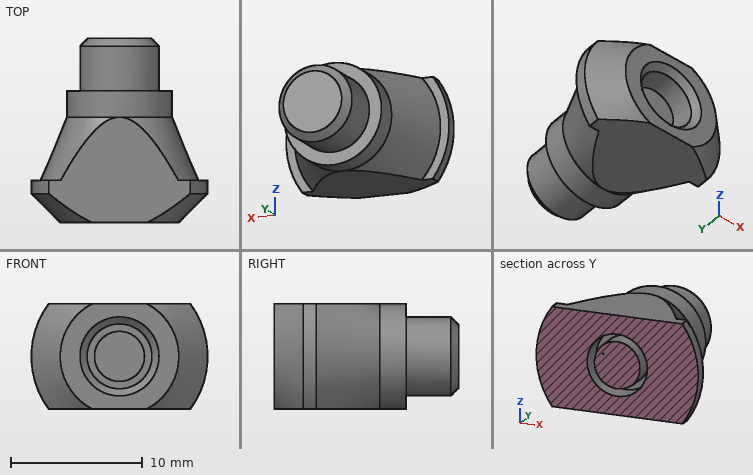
import cadquery as cq

face_radius = 4.5
flange_radius = 6.7
flange_bevel = flange_radius - face_radius
flange_rim_length = 1.0
neck_base_radius = 6.0
collar_radius = 4.0
collar_start = 8.0
collar_length = 2.0
pin_radius = 3.0
pin_chamfer = 0.6
total_length = 14.0

flat_spacing = 2 * collar_radius

bore_mouth_radius = 3.0
bore_radius = 2.46
bore_depth = 4.0
post_radius = 1.9
post_recess = 2.0

rim_end = flange_bevel + flange_rim_length
collar_end = collar_start + collar_length


def revolve_about_y(points):
    """Revolve a closed (radius, y) outline about the Y axis."""
    return cq.Workplane("XY").polyline(points).close().revolve(360, (0, 0), (0, 1))


def make_body():
    return revolve_about_y([
        (0, 0),
        (face_radius, 0),
        (flange_radius, flange_bevel),
        (flange_radius, rim_end),
        (neck_base_radius, rim_end),
        (collar_radius, collar_start),
        (collar_radius, collar_end),
        (pin_radius, collar_end),
        (pin_radius, total_length - pin_chamfer),
        (pin_radius - pin_chamfer, total_length),
        (0, total_length),
    ])


def make_flats_envelope():
    """Slab that leaves only the material between the two flats."""
    return cq.Workplane("XY").box(
        2 * flange_radius, total_length, flat_spacing, centered=(True, False, True)
    )


def make_bore():
    """Bore volume to remove; the post is the material left inside it."""
    mouth_depth = bore_mouth_radius - bore_radius
    return revolve_about_y([
        (0, 0),
        (bore_mouth_radius, 0),
        (bore_radius, mouth_depth),
        (bore_radius, bore_depth),
        (post_radius, bore_depth),
        (post_radius, post_recess),
        (0, post_recess),
    ])


result = make_body().intersect(make_flats_envelope()).cut(make_bore())